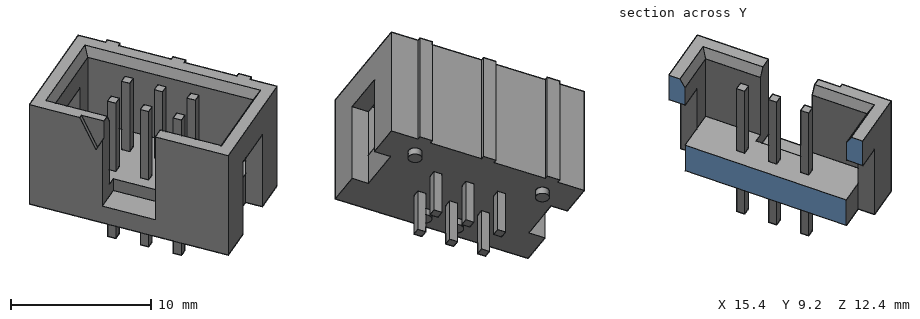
import cadquery as cq

LENGTH = 15.4
WIDTH = 8.9
HEIGHT = 8.9
WALL = 1.3
FLOOR = 2.55
LEAD_IN_WIDTH = 0.4
LEAD_IN_DEPTH = 0.7

PITCH = 2.54
PIN_COLUMNS = 3
PIN_ROWS = 2
PIN_SIZE = 0.64
PIN_TOP = 8.65
PIN_TAIL = 3.45

KEY_WIDTH = 4.1
KEY_BOTTOM = 1.5
KEY_DEPTH = 2.0

NOTCH_WIDTH = 3.5
NOTCH_HEIGHT = 6.45

MARK_HALF_WIDTH = 1.25
MARK_HEIGHT = 2.5
MARK_DEPTH = 0.3

RIB_COUNT = 3
RIB_WIDTH = 1.0
RIB_DEPTH = 0.3
RIB_SPACING = 2 * PITCH

PEG_DIAMETER = 1.0
PEG_HEIGHT = 0.55
PEG_ROW_Y = 3.0
FRONT_PEG_X = PITCH / 2
BACK_PEG_X = 2 * PITCH

FRONT_Y = -WIDTH / 2
BACK_Y = WIDTH / 2


def block(size_x, size_y, z_bottom, z_top, x=0, y=0):
    """Upright block centred on (x, y) between two heights."""
    return (
        cq.Workplane("XY", origin=(x, y, z_bottom))
        .rect(size_x, size_y)
        .extrude(z_top - z_bottom)
    )


def cavity():
    """Open pocket with a sloped lead-in around its mouth."""
    inner_length = LENGTH - 2 * WALL
    inner_width = WIDTH - 2 * WALL
    pocket = block(inner_length, inner_width, FLOOR, HEIGHT)
    lead_in = (
        cq.Workplane("XY", origin=(0, 0, HEIGHT - LEAD_IN_DEPTH))
        .rect(inner_length, inner_width)
        .workplane(offset=LEAD_IN_DEPTH)
        .rect(inner_length + 2 * LEAD_IN_WIDTH, inner_width + 2 * LEAD_IN_WIDTH)
        .loft(ruled=True)
    )
    return pocket.union(lead_in)


def keying_slot():
    """Slot through the -Y wall, cut a little into the floor block."""
    return block(KEY_WIDTH, KEY_DEPTH, KEY_BOTTOM, HEIGHT, y=FRONT_Y + KEY_DEPTH / 2)


def end_notch(side):
    """Notch through one end wall, open at the bottom; side is -1 or 1."""
    x = side * (LENGTH - WALL) / 2
    return block(WALL, NOTCH_WIDTH, 0, NOTCH_HEIGHT, x=x)


def pin_one_mark():
    """Downward triangle above the first pin column."""
    tip_x = -PITCH
    return (
        cq.Workplane("XZ", origin=(0, FRONT_Y, 0))
        .moveTo(tip_x - MARK_HALF_WIDTH, HEIGHT)
        .lineTo(tip_x + MARK_HALF_WIDTH, HEIGHT)
        .lineTo(tip_x, HEIGHT - MARK_HEIGHT)
        .close()
        .extrude(-MARK_DEPTH)
    )


def ribs():
    """Full-height ribs on the +Y face."""
    return (
        cq.Workplane("XY", origin=(0, BACK_Y + RIB_DEPTH / 2, 0))
        .rarray(RIB_SPACING, RIB_SPACING, RIB_COUNT, 1)
        .rect(RIB_WIDTH, RIB_DEPTH)
        .extrude(HEIGHT)
    )


def pegs():
    """Round standoffs: an inner pair near -Y and an outer pair near +Y."""
    centres = []
    for side in (-1, 1):
        centres.append((side * FRONT_PEG_X, -PEG_ROW_Y))
        centres.append((side * BACK_PEG_X, PEG_ROW_Y))
    return (
        cq.Workplane("XY")
        .pushPoints(centres)
        .circle(PEG_DIAMETER / 2)
        .extrude(-PEG_HEIGHT)
    )


def pins():
    """Square contact pins running through the floor."""
    return (
        cq.Workplane("XY", origin=(0, 0, -PIN_TAIL))
        .rarray(PITCH, PITCH, PIN_COLUMNS, PIN_ROWS)
        .rect(PIN_SIZE, PIN_SIZE)
        .extrude(PIN_TAIL + PIN_TOP)
    )


housing = block(LENGTH, WIDTH, 0, HEIGHT).cut(cavity()).cut(keying_slot())
for end in (-1, 1):
    housing = housing.cut(end_notch(end))
housing = housing.cut(pin_one_mark())

result = housing.union(ribs()).union(pegs()).union(pins())